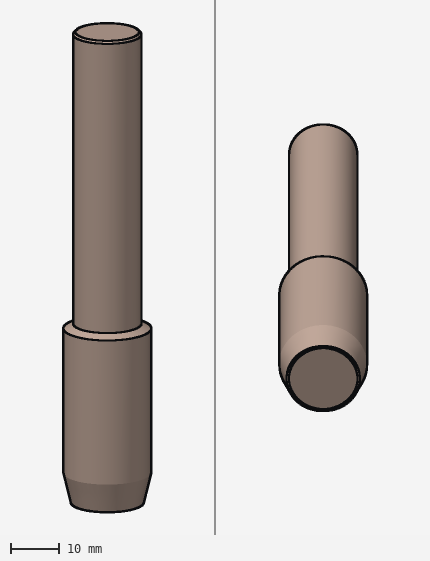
import cadquery as cq

total_length = 100.0
pin_diameter = 14.0
pin_chamfer = 0.5
sleeve_diameter = 18.0
sleeve_length = 38.0
shoulder_height = 1.0
tip_diameter = 15.0
taper_height = 6.3

pin_radius = pin_diameter / 2
sleeve_radius = sleeve_diameter / 2
tip_radius = tip_diameter / 2


def make_pin():
    """Straight round pin running the full length, chamfered at its top end."""
    pin = cq.Workplane("XY").circle(pin_radius).extrude(total_length)
    return pin.faces(">Z").chamfer(pin_chamfer)


def make_sleeve():
    """Sleeve around the pin, with a conical shoulder rising to the pin and a tapered lower end."""
    return (
        cq.Workplane("XZ")
        .moveTo(pin_radius, 0)
        .lineTo(tip_radius, 0)
        .lineTo(sleeve_radius, taper_height)
        .lineTo(sleeve_radius, sleeve_length - shoulder_height)
        .lineTo(pin_radius, sleeve_length)
        .close()
        .revolve(360, (0, 0, 0), (0, 1, 0))
    )


pin = make_pin()
sleeve = make_sleeve()

result = cq.Compound.makeCompound([pin.val(), sleeve.val()])